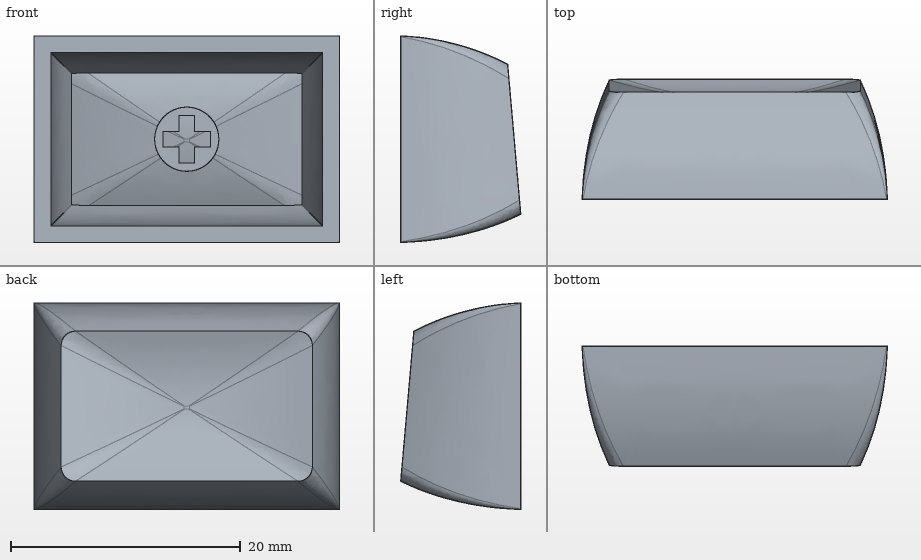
import cadquery as cq
import math

base_width = 26.57
base_length = 18.0
base_corner = 0.08
top_width = 21.85
top_length = 13.1
top_corner = 1.25
top_height = 9.88
top_tilt = 5.0

mid_position = 0.5
mid_taper = 0.27

wall = 1.45
top_thickness = 1.75
cavity_top_width = 19.87
cavity_top_length = 11.32
cavity_corner = 0.03
dish_depth = 1.33
dish_mid_scale = 0.5
dish_tip_scale = 0.02

stem_diameter = 5.58
cross_span = 4.15
cross_arm = 1.35


def tilted_plane(height, tilt, drop=0.0):
    """Plane facing +Y and leaning towards +Z, moved back by drop along its normal."""
    angle = math.radians(tilt)
    normal = cq.Vector(0, math.cos(angle), math.sin(angle))
    return cq.Plane(cq.Vector(0, height, 0) - normal * drop, cq.Vector(1, 0, 0), normal)


def section(plane, width, length, corner):
    """Rounded rectangular wire on a plane."""
    outline = cq.Sketch().rect(width, length).vertices().fillet(corner)
    return outline.reset().faces().val().outerWire().moved(cq.Location(plane))


def between(start, end, fraction):
    return start + (end - start) * fraction


def bulged_loft(base_size, top_size, height):
    """Solid with convex walls; each size is (width, length, corner radius)."""
    mid_size = (
        between(base_size[0], top_size[0], mid_taper),
        between(base_size[1], top_size[1], mid_taper),
        between(base_size[2], top_size[2], mid_position),
    )
    wires = [
        section(tilted_plane(0, 0), *base_size),
        section(tilted_plane(height * mid_position, top_tilt * mid_position), *mid_size),
        section(tilted_plane(height, top_tilt), *top_size),
    ]
    return cq.Workplane(cq.Solid.makeLoft(wires))


def dish(height):
    """Bowl under a tilted plane: shrinking sections follow a parabola to the centre."""
    wires = []
    for scale in (1.0, dish_mid_scale, dish_tip_scale):
        plane = tilted_plane(height, top_tilt, dish_depth * (1 - scale**2))
        wires.append(section(plane, top_width * scale, top_length * scale, top_corner * scale))
    return cq.Workplane(cq.Solid.makeLoft(wires))


outer = bulged_loft(
    (base_width, base_length, base_corner), (top_width, top_length, top_corner), top_height
)

floor_height = top_height - top_thickness
cavity = bulged_loft(
    (base_width - 2 * wall, base_length - 2 * wall, cavity_corner),
    (cavity_top_width, cavity_top_length, cavity_corner),
    floor_height,
).cut(dish(floor_height))

shell = outer.cut(dish(top_height)).cut(cavity)

stem_plane = tilted_plane(0, 0)
stem = cq.Workplane(stem_plane).circle(stem_diameter / 2).extrude(floor_height)
for arm in ((cross_span, cross_arm), (cross_arm, cross_span)):
    stem = stem.cut(cq.Workplane(stem_plane).rect(*arm).extrude(floor_height))
stem = stem.intersect(cavity)

result = shell.union(stem)